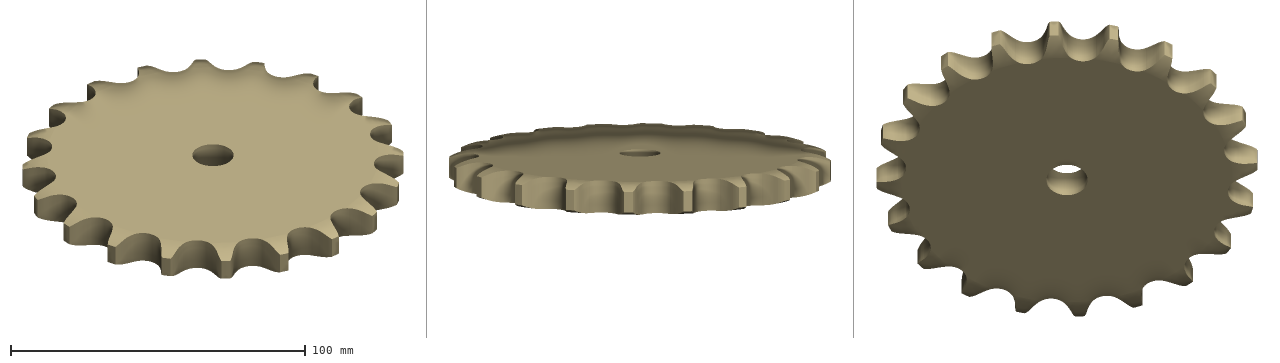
import cadquery as cq
import math

tooth_count = 20
thickness = 11.0
bore_diameter = 14.0
pitch_radius = 60.9
overall_width = 128.5
tip_corner_offset = 8.7
tip_radius = math.hypot(overall_width / 2, tip_corner_offset)

flat_face_radius = 56.3
relief_radius = 19.0

seating_radius = 6.0
working_radius = 15.7
straight_length = 1.5
topping_radius = 10.0
seating_angle = 35 + 60 / tooth_count
working_angle = 18 - 56 / tooth_count
topping_sweep = 25


def polar(center, radius, angle):
    """Point at the given radius and angle (degrees) from a center."""
    turn = math.radians(angle)
    return (center[0] + radius * math.cos(turn), center[1] + radius * math.sin(turn))


def mirrored(point):
    return (-point[0], point[1])


def make_blank():
    """Disc with both faces relieved towards the rim, and the bore through it."""
    half = thickness / 2
    bore_radius = bore_diameter / 2
    relief_center = (flat_face_radius, half - relief_radius)
    tip_angle = math.degrees(math.acos((tip_radius - flat_face_radius) / relief_radius))
    relief_middle = polar(relief_center, relief_radius, (90 + tip_angle) / 2)
    relief_end = polar(relief_center, relief_radius, tip_angle)
    return (
        cq.Workplane("XZ")
        .moveTo(bore_radius, -half)
        .lineTo(bore_radius, half)
        .lineTo(flat_face_radius, half)
        .threePointArc(relief_middle, relief_end)
        .lineTo(tip_radius, -relief_end[1])
        .threePointArc((relief_middle[0], -relief_middle[1]), (flat_face_radius, -half))
        .close()
        .revolve(360, (0, 0, 0), (0, 1, 0))
    )


def make_gap():
    """Cutter for the tooth gap on the +Y axis; consecutive curves meet tangentially."""
    roller_center = (0, pitch_radius)
    root = polar(roller_center, seating_radius, -90)
    seating_end = polar(roller_center, seating_radius, -seating_angle)

    working_center = polar(roller_center, working_radius - seating_radius, 180 - seating_angle)
    flank_angle = working_angle - seating_angle
    working_middle = polar(working_center, working_radius, flank_angle - working_angle / 2)
    working_end = polar(working_center, working_radius, flank_angle)

    flank_end = polar(working_end, straight_length, flank_angle + 90)

    topping_center = polar(flank_end, topping_radius, flank_angle)
    topping_start_angle = flank_angle + 180
    topping_middle = polar(topping_center, topping_radius, topping_start_angle - topping_sweep / 2)
    topping_end = polar(topping_center, topping_radius, topping_start_angle - topping_sweep)

    return (
        cq.Workplane("XY")
        .workplane(offset=-thickness / 2)
        .moveTo(*mirrored(seating_end))
        .threePointArc(root, seating_end)
        .threePointArc(working_middle, working_end)
        .lineTo(*flank_end)
        .threePointArc(topping_middle, topping_end)
        .lineTo(*mirrored(topping_end))
        .threePointArc(mirrored(topping_middle), mirrored(flank_end))
        .lineTo(*mirrored(working_end))
        .threePointArc(mirrored(working_middle), mirrored(seating_end))
        .close()
        .extrude(thickness)
    )


result = make_blank()
gap = make_gap()
for index in range(tooth_count):
    result = result.cut(gap.rotate((0, 0, 0), (0, 0, 1), index * 360 / tooth_count))